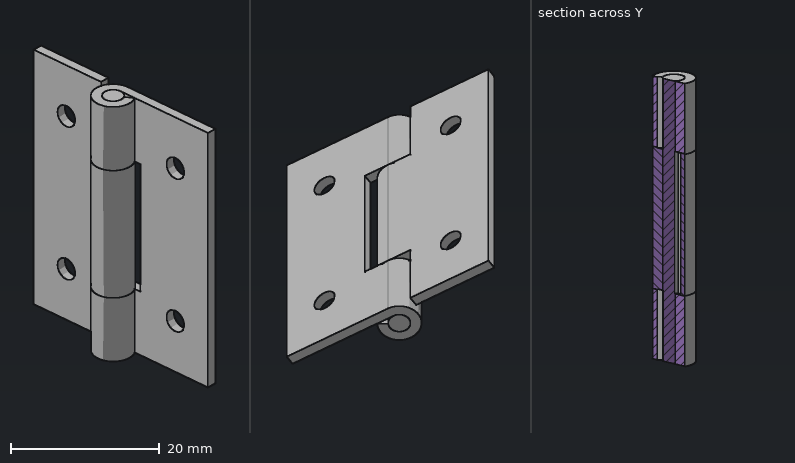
import cadquery as cq
import math

HEIGHT = 40.0
WIDTH = 32.0
PIN_RADIUS = 1.5
LEAF_THICKNESS = 1.5
LEAF_CUT_BACK = 3.6
CURL_END_ANGLE = 29.0
HOLE_DIAMETER = 3.2
HOLE_X = 10.0
HOLE_Z = 12.0

KNUCKLE_RADIUS = PIN_RADIUS + LEAF_THICKNESS
HALF_HEIGHT = HEIGHT / 2
HALF_WIDTH = WIDTH / 2
MIDDLE_HALF = HEIGHT / 4

MIDDLE_SPANS = [(-MIDDLE_HALF, MIDDLE_HALF)]
END_SPANS = [(-HALF_HEIGHT, -MIDDLE_HALF), (MIDDLE_HALF, HALF_HEIGHT)]


def polar(radius, degrees):
    """Point on a circle about the hinge axis."""
    angle = math.radians(degrees)
    return (radius * math.cos(angle), radius * math.sin(angle))


def plate(z_span):
    """Flat part of a leaf on the +X side, clear of the knuckles."""
    bottom, top = z_span
    return (
        cq.Workplane("XY", origin=(0, 0, bottom))
        .moveTo(LEAF_CUT_BACK, PIN_RADIUS)
        .lineTo(HALF_WIDTH, PIN_RADIUS)
        .lineTo(HALF_WIDTH, KNUCKLE_RADIUS)
        .lineTo(LEAF_CUT_BACK, KNUCKLE_RADIUS)
        .close()
        .extrude(top - bottom)
    )


def knuckle(z_span):
    """Strip that leaves the plate and curls around the pin, stopping short of the plate."""
    bottom, top = z_span
    return (
        cq.Workplane("XY", origin=(0, 0, bottom))
        .moveTo(LEAF_CUT_BACK, KNUCKLE_RADIUS)
        .lineTo(0, KNUCKLE_RADIUS)
        .threePointArc((-KNUCKLE_RADIUS, 0), (0, -KNUCKLE_RADIUS))
        .threePointArc(polar(KNUCKLE_RADIUS, -CURL_END_ANGLE), polar(KNUCKLE_RADIUS, CURL_END_ANGLE))
        .lineTo(*polar(PIN_RADIUS, CURL_END_ANGLE))
        .threePointArc(polar(PIN_RADIUS, -CURL_END_ANGLE), (0, -PIN_RADIUS))
        .threePointArc((-PIN_RADIUS, 0), (0, PIN_RADIUS))
        .lineTo(LEAF_CUT_BACK, PIN_RADIUS)
        .close()
        .extrude(top - bottom)
    )


def screw_holes():
    """Cutters for the two holes through a leaf."""
    return (
        cq.Workplane("XZ")
        .pushPoints([(HOLE_X, -HOLE_Z), (HOLE_X, HOLE_Z)])
        .circle(HOLE_DIAMETER / 2)
        .extrude(-KNUCKLE_RADIUS)
    )


def make_leaf(knuckle_spans):
    """Leaf on the +X side with a knuckle in each of the given height ranges."""
    leaf = plate((-HALF_HEIGHT, HALF_HEIGHT))
    for span in knuckle_spans:
        leaf = leaf.union(knuckle(span))
    return leaf.cut(screw_holes())


def make_pin():
    """Pin running the full height of the hinge."""
    return cq.Workplane("XY", origin=(0, 0, -HALF_HEIGHT)).circle(PIN_RADIUS).extrude(HEIGHT)


right_leaf = make_leaf(END_SPANS)
left_leaf = make_leaf(MIDDLE_SPANS).mirror("YZ")
pin = make_pin()

result = cq.Compound.makeCompound([right_leaf.solids().val(), left_leaf.solids().val(), pin.val()])